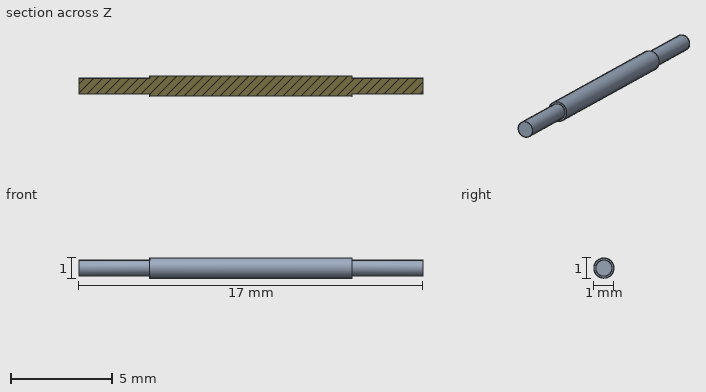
import cadquery as cq

total_length = 17.0
sleeve_length = 10.0
sleeve_diameter = 1.0
wire_diameter = 0.8


def centred_rod(length, diameter):
    """Solid cylinder along X, centred on the origin."""
    start_plane = cq.Workplane("YZ", origin=(-length / 2, 0, 0))
    return start_plane.circle(diameter / 2).extrude(length)


wire = centred_rod(total_length, wire_diameter)
sleeve = centred_rod(sleeve_length, sleeve_diameter)

result = wire.union(sleeve)